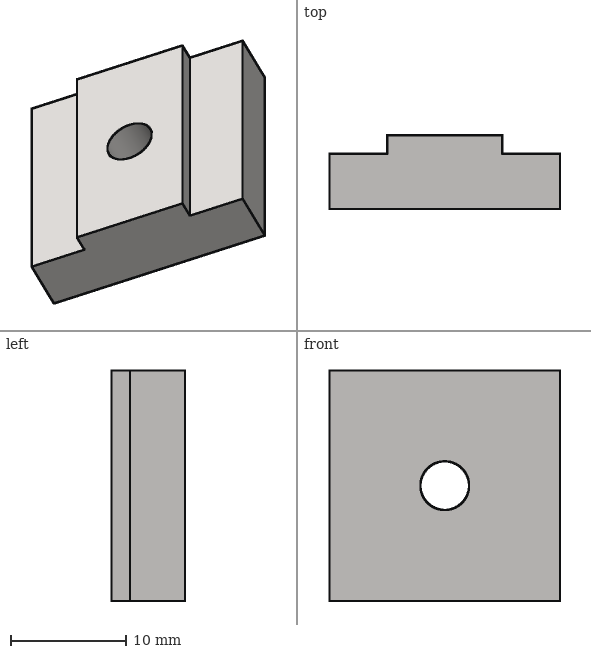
import cadquery as cq

plate_side = 20.0
plate_thickness = 4.8

tongue_width = plate_side / 2
tongue_depth = 1.6

hole_diameter = 4.2

total_depth = plate_thickness + tongue_depth


def block(width, depth):
    """Full-height block centred on X and Z, reaching from Y = 0 to Y = depth."""
    return cq.Workplane("XY").box(width, depth, plate_side, centered=(True, False, True))


plate = block(plate_side, plate_thickness)
plate_and_tongue = plate.union(block(tongue_width, total_depth))

hole = cq.Workplane("XZ").circle(hole_diameter / 2).extrude(-total_depth)

result = plate_and_tongue.cut(hole)